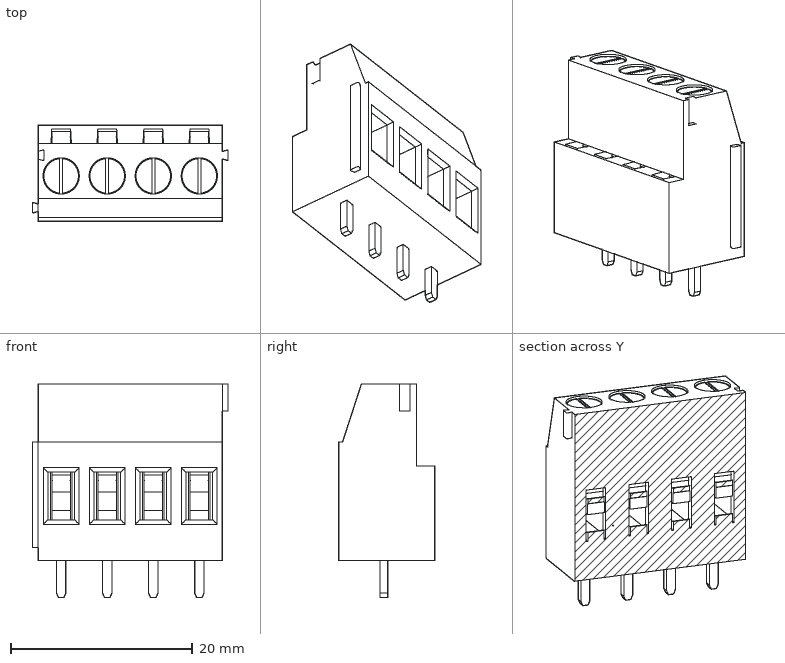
import cadquery as cq


POLES = 4
PITCH = 5.08
ROW_LENGTH = POLES * PITCH
HALF_ROW = ROW_LENGTH / 2
POLE_XS = [(i - (POLES - 1) / 2) * PITCH for i in range(POLES)]

DEPTH = 10.61
HEIGHT = 19.5
FRONT_LEDGE_Z = 13.1
FRONT_LEDGE_DEPTH = 0.42
TOP_FRONT_Y = 2.5
TOP_BACK_Y = 8.61
REAR_STEP_Z = 10.45

DOVETAIL_REACH = 0.65
DOVETAIL_TIP = 1.22
DOVETAIL_ROOT = 0.85
FRONT_DOVETAIL_Y = 1.51
FRONT_DOVETAIL_BOTTOM_Z = 1.42
REAR_DOVETAIL_Y = 7.3
REAR_DOVETAIL_LENGTH = 3.0
REAR_DOVETAIL_BOTTOM_Z = HEIGHT - REAR_DOVETAIL_LENGTH
DOVETAIL_ROUNDING = 0.11

WINDOW_WIDTH = 3.96
WINDOW_HEIGHT = 6.25
WINDOW_BOTTOM_Z = 4.0
WINDOW_BEVEL = 0.5
CHANNEL_WIDTH = WINDOW_WIDTH - 2 * WINDOW_BEVEL
CHANNEL_FLOOR_Z = WINDOW_BOTTOM_Z + WINDOW_BEVEL
CHANNEL_HEIGHT = WINDOW_HEIGHT - 2 * WINDOW_BEVEL
CHANNEL_END_Y = 7.6

SLOT_FRONT_WIDTH = 2.38
SLOT_BACK_WIDTH = 2.08
SLOT_BACK_Y = 10.2

STRIP_WIDTH = 2.0
STRIP_THICKNESS = 0.6
STRIP_BEND = 0.68
STRIP_FRONT_Y = 7.93
STRIP_BACK_Y = 9.93
STRIP_TOP_Z = 9.44
STRIP_LIP_Z = 7.59
STRIP_FOOT_TOP_Z = 5.55

SCREW_Y = 5.02
SCREW_HOLE_RADIUS = 2.0
SCREW_HEAD_RADIUS = 1.91
SCREW_HEAD_DEPTH = 0.2
SCREW_GAP_DEPTH = 0.1
DRIVER_SLOT_WIDTH = 0.33
DRIVER_SLOT_DEPTH = 0.1

PIN_Y = 5.0
PIN_WIDTH = 1.06
PIN_THICKNESS = 0.88
PIN_LENGTH = 4.1
PIN_TIP_WIDTH = 0.6
PIN_TIP_LENGTH = 0.5


def make_housing():
    """Stepped side outline extruded along the row."""
    outline = [
        (0, 0),
        (DEPTH, 0),
        (DEPTH, REAR_STEP_Z),
        (TOP_BACK_Y, REAR_STEP_Z),
        (TOP_BACK_Y, HEIGHT),
        (TOP_FRONT_Y, HEIGHT),
        (FRONT_LEDGE_DEPTH, FRONT_LEDGE_Z),
        (0, FRONT_LEDGE_Z),
    ]
    return cq.Workplane("YZ").polyline(outline).close().extrude(HALF_ROW, both=True)


def dovetail(root_x, direction, y, bottom_z, top_z):
    """Prism that widens from root_x along X (direction is 1 or -1), with its tip edges rounded."""
    half_root = DOVETAIL_ROOT / 2
    half_tip = DOVETAIL_TIP / 2
    tip_x = root_x + direction * DOVETAIL_REACH
    outline = [
        (root_x, y - half_root),
        (tip_x, y - half_tip),
        (tip_x, y + half_tip),
        (root_x, y + half_root),
    ]
    plane = cq.Workplane("XY", origin=(0, 0, bottom_z))
    prism = plane.polyline(outline).close().extrude(top_z - bottom_z)
    tip_face = prism.faces(">X" if direction > 0 else "<X")
    return tip_face.edges("|Z").fillet(DOVETAIL_ROUNDING)


def cut_rear_groove(body):
    """Groove in the -X side for a neighbour's rear rib, with rounded mouth edges."""
    groove = dovetail(-HALF_ROW, 1, REAR_DOVETAIL_Y, REAR_DOVETAIL_BOTTOM_Z, HEIGHT)
    mouth_box = cq.selectors.BoxSelector(
        (-HALF_ROW - DOVETAIL_ROUNDING, REAR_DOVETAIL_Y - DOVETAIL_TIP / 2, REAR_DOVETAIL_BOTTOM_Z),
        (-HALF_ROW + DOVETAIL_ROUNDING, REAR_DOVETAIL_Y + DOVETAIL_TIP / 2, HEIGHT),
    )
    return body.cut(groove).edges("|Z").edges(mouth_box).fillet(DOVETAIL_ROUNDING)


def window_cutter(x):
    """Bevelled wire entry and the straight channel behind it."""
    center_z = WINDOW_BOTTOM_Z + WINDOW_HEIGHT / 2
    mouth = (
        cq.Workplane("XZ", origin=(x, 0, center_z))
        .rect(WINDOW_WIDTH, WINDOW_HEIGHT)
        .workplane(offset=-WINDOW_BEVEL)
        .rect(CHANNEL_WIDTH, CHANNEL_HEIGHT)
        .loft(ruled=True)
    )
    channel = (
        cq.Workplane("XZ", origin=(x, 0, center_z))
        .rect(CHANNEL_WIDTH, CHANNEL_HEIGHT)
        .extrude(-CHANNEL_END_Y)
    )
    return mouth.union(channel)


def slot_cutter(x):
    """Tapered slot from the channel end to the back wall, up through the rear step."""
    outline = [
        (x - SLOT_FRONT_WIDTH / 2, CHANNEL_END_Y),
        (x + SLOT_FRONT_WIDTH / 2, CHANNEL_END_Y),
        (x + SLOT_BACK_WIDTH / 2, SLOT_BACK_Y),
        (x - SLOT_BACK_WIDTH / 2, SLOT_BACK_Y),
    ]
    plane = cq.Workplane("XY", origin=(0, 0, CHANNEL_FLOOR_Z))
    return plane.polyline(outline).close().extrude(REAR_STEP_Z - CHANNEL_FLOOR_Z)


def make_contact_strip(x):
    """C-shaped strip: foot, back leg and a lip hooked over at the top front, with round bends."""
    inner_back_y = STRIP_BACK_Y - STRIP_THICKNESS
    lip_back_y = STRIP_FRONT_Y + STRIP_THICKNESS
    bend_y = STRIP_FRONT_Y + STRIP_BEND
    top_bend_z = STRIP_TOP_Z - STRIP_BEND
    foot_bend_z = STRIP_FOOT_TOP_Z - STRIP_BEND
    return (
        cq.Workplane("YZ", origin=(x, 0, 0))
        .moveTo(STRIP_FRONT_Y, CHANNEL_FLOOR_Z)
        .lineTo(STRIP_FRONT_Y, foot_bend_z)
        .radiusArc((bend_y, STRIP_FOOT_TOP_Z), STRIP_BEND)
        .lineTo(inner_back_y, STRIP_FOOT_TOP_Z)
        .lineTo(inner_back_y, STRIP_TOP_Z - STRIP_THICKNESS)
        .lineTo(lip_back_y, STRIP_TOP_Z - STRIP_THICKNESS)
        .lineTo(lip_back_y, STRIP_LIP_Z)
        .lineTo(STRIP_FRONT_Y, STRIP_LIP_Z)
        .lineTo(STRIP_FRONT_Y, top_bend_z)
        .radiusArc((bend_y, STRIP_TOP_Z), STRIP_BEND)
        .lineTo(STRIP_BACK_Y - STRIP_BEND, STRIP_TOP_Z)
        .radiusArc((STRIP_BACK_Y, top_bend_z), STRIP_BEND)
        .lineTo(STRIP_BACK_Y, CHANNEL_FLOOR_Z)
        .close()
        .extrude(STRIP_WIDTH / 2, both=True)
    )


def screw_cutter(x):
    """Recess over the screw head, the gap around it and its driver slot."""
    top = cq.Workplane("XY", origin=(x, SCREW_Y, HEIGHT))
    head_plane = cq.Workplane("XY", origin=(x, SCREW_Y, HEIGHT - SCREW_HEAD_DEPTH))
    recess = top.circle(SCREW_HOLE_RADIUS).extrude(-SCREW_HEAD_DEPTH)
    gap = head_plane.circle(SCREW_HOLE_RADIUS).circle(SCREW_HEAD_RADIUS).extrude(-SCREW_GAP_DEPTH)
    driver_slot = (
        head_plane.rect(DRIVER_SLOT_WIDTH, 2 * SCREW_HEAD_RADIUS)
        .extrude(-DRIVER_SLOT_DEPTH)
    )
    return recess.union(gap).union(driver_slot)


def make_pin(x):
    """Flat solder pin with a tip narrowed along X."""
    half_width = PIN_WIDTH / 2
    half_tip = PIN_TIP_WIDTH / 2
    shoulder_z = PIN_TIP_LENGTH - PIN_LENGTH
    outline = [
        (-half_width, 0),
        (half_width, 0),
        (half_width, shoulder_z),
        (half_tip, -PIN_LENGTH),
        (-half_tip, -PIN_LENGTH),
        (-half_width, shoulder_z),
    ]
    plane = cq.Workplane("XZ", origin=(x, PIN_Y, 0))
    return plane.polyline(outline).close().extrude(PIN_THICKNESS / 2, both=True)


front_rib = dovetail(-HALF_ROW, -1, FRONT_DOVETAIL_Y, FRONT_DOVETAIL_BOTTOM_Z, FRONT_LEDGE_Z)
rear_rib = dovetail(HALF_ROW, 1, REAR_DOVETAIL_Y, REAR_DOVETAIL_BOTTOM_Z, HEIGHT)

result = make_housing().union(front_rib).union(rear_rib)
result = cut_rear_groove(result)
for pole_x in POLE_XS:
    result = result.cut(window_cutter(pole_x))
    result = result.cut(slot_cutter(pole_x))
    result = result.cut(screw_cutter(pole_x))
    result = result.union(make_contact_strip(pole_x))
    result = result.union(make_pin(pole_x))